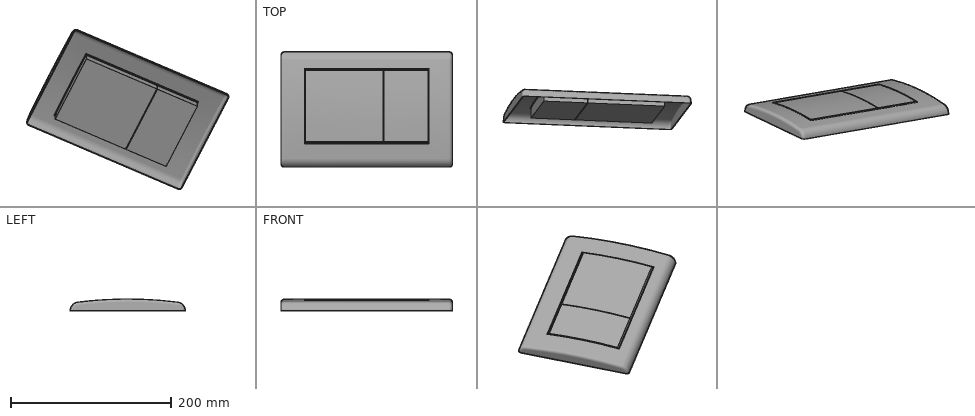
import cadquery as cq
import math

plate_length = 214.0
plate_width = 144.0
crown_height = 15.0
crown_radius = 500.0
side_radius = 11.15
end_radius = 4.0
wall = 1.0

window_length = 155.0
window_width = 93.5
window_center_y = 4.25

gap = 1.0
split_x = 21.0
button_edge_chamfer = 1.5

crown_center_z = crown_height - crown_radius


def make_crowned_bar(x_start, x_end, y_start, y_end):
    """Bar along X with a flat base, upright sides and a top that follows the crown across Y."""

    def crown_point(y):
        return (y, crown_center_z + math.sqrt(crown_radius**2 - y**2))

    return (
        cq.Workplane("YZ", origin=(x_start, 0, 0))
        .moveTo(y_start, 0)
        .lineTo(y_end, 0)
        .lineTo(*crown_point(y_end))
        .threePointArc(crown_point((y_start + y_end) / 2), crown_point(y_start))
        .close()
        .extrude(x_end - x_start)
    )


def make_plate():
    half_length = plate_length / 2
    half_width = plate_width / 2
    bar = make_crowned_bar(-half_length, half_length, -half_width, half_width)
    bar = bar.edges("|X").edges("not <Z").fillet(side_radius)
    bar = bar.faces("<X or >X").edges("not <Z").fillet(end_radius)
    bar = bar.faces("<Z").shell(-wall)
    window = (
        cq.Workplane("XY")
        .center(0, window_center_y)
        .rect(window_length, window_width)
        .extrude(crown_height)
    )
    return bar.cut(window)


def make_button(x_start, x_end):
    half_width = window_width / 2 - gap
    bar = make_crowned_bar(x_start, x_end, window_center_y - half_width, window_center_y + half_width)
    long_top_edges = bar.edges("|X").edges("not <Z")
    return long_top_edges.chamfer(button_edge_chamfer)


plate = make_plate()
button_end_x = window_length / 2 - gap
large_button = make_button(-button_end_x, split_x - gap / 2)
small_button = make_button(split_x + gap / 2, button_end_x)

result = cq.Compound.makeCompound([plate.val(), large_button.val(), small_button.val()])